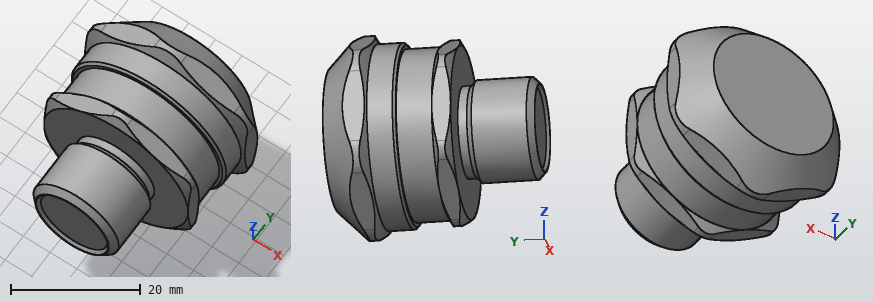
import cadquery as cq
import math


SPIGOT_DIA = 16.0
TIP_DIA = 13.83
TIP_CHAMFER_LENGTH = 1.1
THREAD_END = 9.73
UNDERCUT_DIA = 14.4
UNDERCUT_START = 10.6

RECESS_MOUTH_DIA = 13.5
RECESS_FLOOR_DIA = 12.45
RECESS_DEPTH = (RECESS_MOUTH_DIA - RECESS_FLOOR_DIA) / 2

SMALL_HEX_FLATS = 27.0
SMALL_HEX_CORNER_RADIUS = 2.98
SMALL_HEX_START = 11.98
SMALL_HEX_END = 14.95
BODY_DIA = 26.95

COLLAR_DIA = 29.0
COLLAR_START = 20.5
COLLAR_CHAMFER = 0.43

CAP_FLATS = 30.0
CAP_CORNER_RADIUS = 5.05
CAP_START = 24.95
CAP_END = 32.45
CAP_END_DIA = 22.5

HEX_CHAMFER_SLOPE = math.tan(math.radians(30))
CAP_DOME_SLOPE = math.tan(math.radians(45))


def revolve_profile(points):
    """Revolve closed (radius, y) points about the Y axis."""
    return cq.Workplane("XY").polyline(points).close().revolve(360, (0, 0, 0), (0, 1, 0))


def rounded_hexagon(flats, corner_radius, start, end):
    """Hexagonal prism along Y with flats facing +X and -X and rounded corners."""
    prism = (
        cq.Workplane("XZ", origin=(0, start, 0))
        .polygon(6, flats, circumscribed=True)
        .extrude(start - end)
    )
    return prism.edges("|Y").fillet(corner_radius)


def chamfered_hexagon(flats, corner_radius, start, end, start_dia, end_dia, end_slope):
    """Rounded hexagon trimmed by a 30 degree cone at its start and a given cone at its end."""
    start_radius = start_dia / 2
    end_radius = end_dia / 2
    start_slope = HEX_CHAMFER_SLOPE
    meeting_radius = (
        end - start + start_slope * start_radius + end_slope * end_radius
    ) / (start_slope + end_slope)
    meeting_y = start + start_slope * (meeting_radius - start_radius)
    envelope = revolve_profile([
        (0, start),
        (start_radius, start),
        (meeting_radius, meeting_y),
        (end_radius, end),
        (0, end),
    ])
    return rounded_hexagon(flats, corner_radius, start, end).intersect(envelope)


core = revolve_profile([
    (0, RECESS_DEPTH),
    (RECESS_FLOOR_DIA / 2, RECESS_DEPTH),
    (RECESS_MOUTH_DIA / 2, 0),
    (TIP_DIA / 2, 0),
    (SPIGOT_DIA / 2, TIP_CHAMFER_LENGTH),
    (SPIGOT_DIA / 2, THREAD_END),
    (UNDERCUT_DIA / 2, UNDERCUT_START),
    (UNDERCUT_DIA / 2, SMALL_HEX_START),
    (BODY_DIA / 2, SMALL_HEX_START),
    (BODY_DIA / 2, COLLAR_START),
    (COLLAR_DIA / 2 - COLLAR_CHAMFER, COLLAR_START),
    (COLLAR_DIA / 2, COLLAR_START + COLLAR_CHAMFER),
    (COLLAR_DIA / 2, CAP_START),
    (0, CAP_START),
])

small_hexagon = chamfered_hexagon(
    SMALL_HEX_FLATS, SMALL_HEX_CORNER_RADIUS, SMALL_HEX_START, SMALL_HEX_END,
    SMALL_HEX_FLATS, SMALL_HEX_FLATS, HEX_CHAMFER_SLOPE,
)

cap = chamfered_hexagon(
    CAP_FLATS, CAP_CORNER_RADIUS, CAP_START, CAP_END,
    COLLAR_DIA, CAP_END_DIA, CAP_DOME_SLOPE,
)

result = core.union(small_hexagon).union(cap)